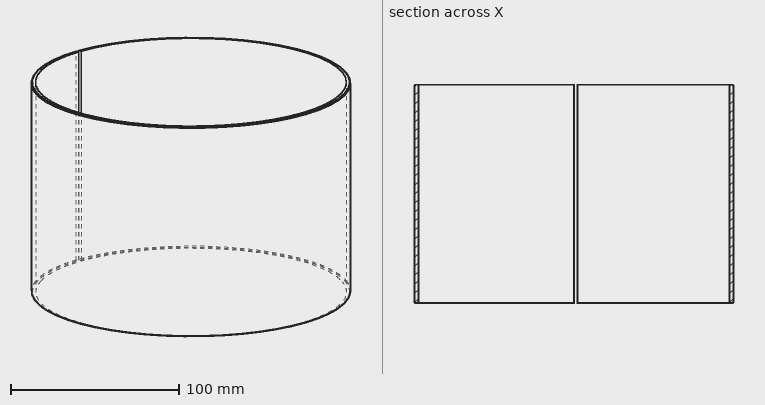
import cadquery as cq

outer_diameter = 190.0
height = 130.0
wall = 2.5
rim_chamfer = 0.5
slit_width = 1.9

outer_radius = outer_diameter / 2
inner_radius = outer_radius - wall


def make_sleeve():
    """Open tube with its outer rims chamfered at both ends."""
    body = cq.Workplane("XY").circle(outer_radius).extrude(height)
    body = body.faces("<Z or >Z").edges().chamfer(rim_chamfer)
    bore = cq.Workplane("XY").circle(inner_radius).extrude(height)
    return body.cut(bore)


def make_slit():
    """Full-height cut through the -X wall, with one face on the XZ plane."""
    return cq.Workplane("XY").box(outer_radius, slit_width, height, centered=False).translate(
        (-outer_radius, 0, 0)
    )


result = make_sleeve().cut(make_slit())